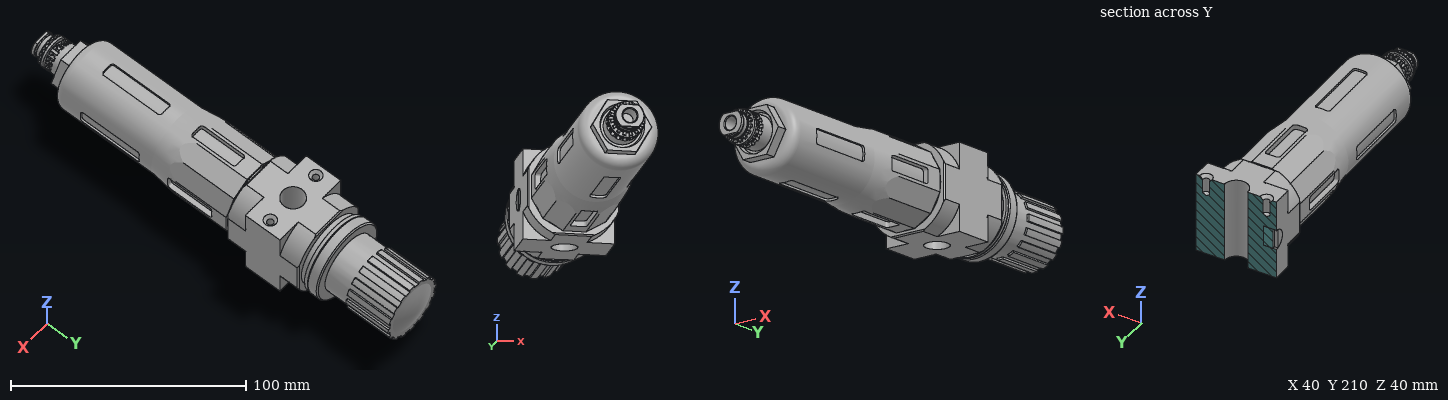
import cadquery as cq
import math


HOUSING_SIZE = 40.0
HALF = HOUSING_SIZE / 2
ARM_WIDTH = 15.8
BAND_LENGTH = 19.3
BODY_RADIUS = math.hypot(HALF, ARM_WIDTH / 2)
END_BEVEL = 0.6
SPIGOT_DIAMETER = 36.0
LIP_DIAMETER = 38.9
LIP_Y = 22.9
COLLAR_DIAMETER = 39.7
COLLAR_Y = 24.5
COLLAR_TOP_Y = 30.5
COLLAR_CHAMFER = 0.6
PORT_DIAMETER = 11.3
SCREW_OFFSET = 15.0
SCREW_DIAMETER = 3.2
SCREW_SINK_DIAMETER = 6.0
SCREW_DEPTH = 8.5
DRILL_POINT_ANGLE = 118.0

PLUG_DIAMETER = 9.7
PLUG_LENGTH = 6.3
SLOT_WIDTH = 1.9
SLOT_DEPTH = 1.7

KNOB_DIAMETER = 31.5
NECK_DIAMETER = 29.6
KNOB_RIB_COUNT = 16
KNOB_RIB_WIDTH = 3.2
KNOB_RIB_START_Y = 43.0
KNOB_RIB_END_Y = 66.5
KNOB_TOP_Y = 68.9
CROWN_DIAMETER = 25.0

FACET_COUNT = 12
FACET_SPAN = 37.4
BOWL_NECK_DIAMETER = 36.0
FACET_TOP_Y = -21.5
CONE_END_Y = -64.3
CONE_SLOPE = 0.13
BOWL_RADIUS = 17.5
BOWL_END_Y = -119.3
BOWL_ROUND = 4.5
WINDOW_COUNT = 4
WINDOW_WIDTH = 7.1
WINDOW_CORNER = 1.3
WINDOW_FLOOR_RADIUS = 16.4
GRIP_WINDOW_Y = (-54.2, -29.6)
SIGHT_WINDOW_Y = (-104.0, -71.2)

HEX_SIDES = 6
HEX_CORNERS = 25.6
RECESS_DIAMETER = 19.3
RECESS_FLOOR_DIAMETER = 18.0
RECESS_DEPTH = 2.0
HEX_END_Y = -124.3
STEM_DIAMETER = 15.8
STEM_END_Y = -129.4
NIPPLE_END_Y = -141.1
CORE_DIAMETER = 12.2
TIP_CORE_DIAMETER = 11.3
TIP_GROOVE_DIAMETER = 11.0
TOOTHED_RING_Y = (-132.0, -131.0)
PLAIN_RING_Y = (-134.5, -133.2)
CORE_END_Y = -136.7
END_RING_Y = (-136.3, -135.3)
END_RING_DIAMETER = 15.0
TIP_FLATS = 9.7
TIP_GROOVE_Y = (-139.7, -138.8)
NOTCH_COUNT = 16
NOTCH_WIDTH = 1.5
NOTCH_FLOOR_DIAMETER = 11.8
NOTCH_TOP_Y = -128.7
DRAIN_MOUTH_DIAMETER = 7.0
DRAIN_HOLE_DIAMETER = 6.0
DRAIN_HOLE_DEPTH = 8.5


def along_y(y_from, y_to):
    """Sketch plane at y_to whose positive extrusion runs back toward y_from; also the distance."""
    return cq.Workplane("XZ", origin=(0, y_to, 0)), y_to - y_from


def rod(diameter, y_from, y_to):
    plane, length = along_y(y_from, y_to)
    return plane.circle(diameter / 2).extrude(length)


def block(width, height, y_from, y_to):
    plane, length = along_y(y_from, y_to)
    return plane.rect(width, height).extrude(length)


def turned(profile):
    """Solid of revolution about Y from (radius, y) points."""
    return cq.Workplane("XY").polyline(profile).close().revolve(360, (0, 0), (0, 1))


def stepped_profile(steps):
    """Half outline of a stepped shaft, from (diameter, start y, end y) for each step."""
    profile = [(0, steps[0][1])]
    for diameter, y_start, y_end in steps:
        profile += [(diameter / 2, y_start), (diameter / 2, y_end)]
    return profile + [(0, steps[-1][2])]


def tapered_hole(mouth_diameter, floor_diameter, depth, mouth_y):
    """Cutter that narrows in the +Y direction."""
    return turned([
        (0, mouth_y),
        (mouth_diameter / 2, mouth_y),
        (floor_diameter / 2, mouth_y + depth),
        (0, mouth_y + depth),
    ])


def around_y(tool, count):
    """Copies of one cutter or rib, evenly turned about the Y axis."""
    return [tool.rotate((0, 0, 0), (0, 1, 0), i * 360 / count) for i in range(count)]


def plug_cylinder():
    """Round shape shared by the plug and its seat in the -X face."""
    return cq.Workplane("YZ", origin=(-HALF, 0, 0)).circle(PLUG_DIAMETER / 2).extrude(PLUG_LENGTH)


def make_plug():
    slot = cq.Workplane("XY").box(2 * SLOT_DEPTH, SLOT_WIDTH, 2 * PLUG_DIAMETER)
    return plug_cylinder().cut(slot.translate((-HALF, 0, 0)))


def make_screw_hole(x):
    """Countersunk blind hole with a drill point, opening on the upper face."""
    radius = SCREW_DIAMETER / 2
    sink = (SCREW_SINK_DIAMETER - SCREW_DIAMETER) / 2
    point = radius / math.tan(math.radians(DRILL_POINT_ANGLE / 2))
    profile = [
        (0, HALF),
        (radius + sink, HALF),
        (radius, HALF - sink),
        (radius, HALF - SCREW_DEPTH),
        (0, HALF - SCREW_DEPTH - point),
    ]
    hole = cq.Workplane("XZ").polyline(profile).close().revolve(360, (0, 0), (0, 1))
    return hole.translate((x, 0, 0))


def make_housing():
    band = block(HOUSING_SIZE, HOUSING_SIZE, -BAND_LENGTH / 2, BAND_LENGTH / 2)
    arms = block(HOUSING_SIZE, HOUSING_SIZE, -HALF, HALF).faces("<Y or >Y").edges().chamfer(END_BEVEL)
    housing = band.union(rod(2 * BODY_RADIUS, -HALF, HALF).intersect(arms))

    collar = rod(COLLAR_DIAMETER, COLLAR_Y, COLLAR_TOP_Y).edges().chamfer(COLLAR_CHAMFER)
    housing = housing.union(rod(SPIGOT_DIAMETER, HALF, LIP_Y))
    housing = housing.union(rod(LIP_DIAMETER, LIP_Y, COLLAR_Y)).union(collar)

    port = cq.Workplane("XY").circle(PORT_DIAMETER / 2).extrude(HOUSING_SIZE, both=True)
    housing = housing.cut(port).cut(plug_cylinder())
    for side in (-1, 1):
        housing = housing.cut(make_screw_hole(side * SCREW_OFFSET))
    return housing


def make_knob():
    crown_radius = CROWN_DIAMETER / 2
    crown_rise = KNOB_TOP_Y - KNOB_RIB_END_Y
    dome_radius = (crown_radius**2 + crown_rise**2) / (2 * crown_rise)
    mid_radius = crown_radius / 2
    mid_y = KNOB_TOP_Y - dome_radius + math.sqrt(dome_radius**2 - mid_radius**2)
    knob = (
        cq.Workplane("XY")
        .moveTo(0, COLLAR_TOP_Y)
        .lineTo(NECK_DIAMETER / 2, COLLAR_TOP_Y)
        .lineTo(NECK_DIAMETER / 2, KNOB_RIB_END_Y)
        .lineTo(crown_radius, KNOB_RIB_END_Y)
        .threePointArc((mid_radius, mid_y), (0, KNOB_TOP_Y))
        .close()
        .revolve(360, (0, 0), (0, 1))
    )
    plane, length = along_y(KNOB_RIB_START_Y, KNOB_RIB_END_Y)
    bar = plane.center(0, KNOB_DIAMETER / 2).rect(KNOB_RIB_WIDTH, KNOB_DIAMETER / 2).extrude(length)
    rib = bar.intersect(rod(KNOB_DIAMETER, KNOB_RIB_START_Y, KNOB_RIB_END_Y))
    for copy in around_y(rib, KNOB_RIB_COUNT):
        knob = knob.union(copy)
    return knob


def make_window(y_range):
    """Cutter for one rounded-corner window in the upper side, down to a round floor."""
    y_from, y_to = y_range
    length = y_to - y_from
    cutter = cq.Workplane("XY").box(WINDOW_WIDTH, length, HALF, centered=(True, True, False))
    cutter = cutter.edges("|Z").fillet(WINDOW_CORNER).translate((0, (y_from + y_to) / 2, HALF / 2))
    return cutter.cut(rod(2 * WINDOW_FLOOR_RADIUS, y_from, y_to))


def make_nipple():
    plane, length = along_y(HEX_END_Y, BOWL_END_Y)
    hexagon = plane.polygon(HEX_SIDES, HEX_CORNERS).extrude(length)
    recess = tapered_hole(RECESS_DIAMETER, RECESS_FLOOR_DIAMETER, RECESS_DEPTH, HEX_END_Y)

    stem = turned(stepped_profile([
        (STEM_DIAMETER, BOWL_END_Y, STEM_END_Y),
        (CORE_DIAMETER, STEM_END_Y, TOOTHED_RING_Y[1]),
        (STEM_DIAMETER, TOOTHED_RING_Y[1], TOOTHED_RING_Y[0]),
        (CORE_DIAMETER, TOOTHED_RING_Y[0], PLAIN_RING_Y[1]),
        (STEM_DIAMETER, PLAIN_RING_Y[1], PLAIN_RING_Y[0]),
        (CORE_DIAMETER, PLAIN_RING_Y[0], END_RING_Y[1]),
        (END_RING_DIAMETER, END_RING_Y[1], END_RING_Y[0]),
        (CORE_DIAMETER, END_RING_Y[0], CORE_END_Y),
        (TIP_CORE_DIAMETER, CORE_END_Y, TIP_GROOVE_Y[1]),
        (TIP_GROOVE_DIAMETER, TIP_GROOVE_Y[1], TIP_GROOVE_Y[0]),
        (CORE_DIAMETER, TIP_GROOVE_Y[0], NIPPLE_END_Y),
    ]))
    flats = block(STEM_DIAMETER, STEM_DIAMETER, NIPPLE_END_Y, TIP_GROOVE_Y[0])
    flats = flats.cut(block(STEM_DIAMETER, TIP_FLATS, NIPPLE_END_Y, TIP_GROOVE_Y[0]))
    stem = stem.cut(flats)

    for y_from, y_to in ((PLAIN_RING_Y[1], NOTCH_TOP_Y), (END_RING_Y[0], PLAIN_RING_Y[0])):
        notch = block(NOTCH_WIDTH, STEM_DIAMETER / 2, y_from, y_to)
        notch = notch.translate((0, 0, NOTCH_FLOOR_DIAMETER / 2 + STEM_DIAMETER / 4))
        for copy in around_y(notch, NOTCH_COUNT):
            stem = stem.cut(copy)

    nipple = hexagon.cut(recess).union(stem)
    mouth_depth = (DRAIN_MOUTH_DIAMETER - DRAIN_HOLE_DIAMETER) / 2
    mouth = tapered_hole(DRAIN_MOUTH_DIAMETER, DRAIN_HOLE_DIAMETER, mouth_depth, NIPPLE_END_Y)
    return nipple.cut(mouth).cut(rod(DRAIN_HOLE_DIAMETER, NIPPLE_END_Y, NIPPLE_END_Y + DRAIN_HOLE_DEPTH))


def make_bowl():
    blank_radius = BOWL_RADIUS + CONE_SLOPE * (FACET_TOP_Y - CONE_END_Y)
    blank = turned([
        (0, FACET_TOP_Y),
        (blank_radius, FACET_TOP_Y),
        (BOWL_RADIUS, CONE_END_Y),
        (BOWL_RADIUS, BOWL_END_Y),
        (0, BOWL_END_Y),
    ])
    blank = blank.faces("<Y").edges().fillet(BOWL_ROUND)
    plane, length = along_y(BOWL_END_Y, FACET_TOP_Y)
    facets = plane.polygon(FACET_COUNT, FACET_SPAN, circumscribed=True).extrude(length)
    bowl = blank.intersect(facets).union(rod(BOWL_NECK_DIAMETER, FACET_TOP_Y, -HALF))

    for y_range in (GRIP_WINDOW_Y, SIGHT_WINDOW_Y):
        for window in around_y(make_window(y_range), WINDOW_COUNT):
            bowl = bowl.cut(window)
    return bowl.union(make_nipple())


knob = make_knob()
housing = make_housing()
bowl = make_bowl()
plug = make_plug()

result = cq.Compound.makeCompound([knob.val(), housing.val(), bowl.val(), plug.val()])